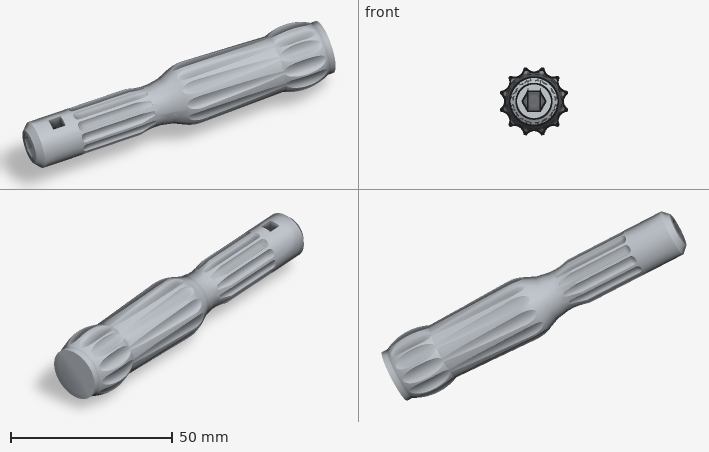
import cadquery as cq
import math

LENGTH = 100.0
BUTT_Y = LENGTH / 2
TIP_Y = -LENGTH / 2

COLLAR_RADIUS = 8.5
COLLAR_LENGTH = 2.0
KNOB_RADIUS = 10.6
KNOB_CREST_Y = 40.2
BODY_BACK_Y = 33.0
BODY_FRONT_RADIUS = 10.0
BODY_FRONT_Y = 5.0
SHOULDER_BULGE_RADIUS = 9.8
SHOULDER_END_RADIUS = 9.0
NECK_RADIUS = 6.6
NECK_Y = -9.0
SHAFT_RADIUS = 7.5
SHAFT_START_Y = -15.0
TIP_CHAMFER = 2.0

FLUTE_COUNT = 12
BODY_FLUTE_RADIUS = 3.0
BODY_FLUTE_FLOOR = 9.0
BODY_FLUTE_LEAST_DEPTH = 0.07
BODY_BACK_RADIUS = BODY_FLUTE_FLOOR + BODY_FLUTE_LEAST_DEPTH
SHAFT_FLUTE_RADIUS = 1.7
SHAFT_FLUTE_FLOOR = 6.4
SHAFT_FLUTE_START_Y = -10.0
SHAFT_FLUTE_END_Y = -35.0
SHAFT_FLUTE_END_FILLET = 1.2

HEX_ACROSS_FLATS = 6.3
HEX_ACROSS_CORNERS = HEX_ACROSS_FLATS / math.cos(math.radians(30))
HEX_DEPTH = 10.0
WINDOW_WIDTH = 4.0
WINDOW_LENGTH = 4.2
WINDOW_Y = -40.7


def turned_body():
    """Solid of revolution carrying every flute."""
    shoulder_rise = SHOULDER_END_RADIUS - NECK_RADIUS
    hollow_radius = (NECK_Y**2 + shoulder_rise**2) / (2 * shoulder_rise)
    run = NECK_Y - SHAFT_START_Y
    drop = hollow_radius + NECK_RADIUS - SHAFT_RADIUS
    cone_angle = math.asin(hollow_radius / math.hypot(run, drop)) - math.atan2(drop, run)
    cone_start = (
        NECK_RADIUS + hollow_radius * (1 - math.cos(cone_angle)),
        NECK_Y - hollow_radius * math.sin(cone_angle),
    )
    return (
        cq.Workplane("XY")
        .moveTo(0, BUTT_Y)
        .lineTo(COLLAR_RADIUS, BUTT_Y)
        .lineTo(COLLAR_RADIUS, BUTT_Y - COLLAR_LENGTH)
        .threePointArc((KNOB_RADIUS, KNOB_CREST_Y), (BODY_BACK_RADIUS, BODY_BACK_Y))
        .lineTo(BODY_FRONT_RADIUS, BODY_FRONT_Y)
        .threePointArc((SHOULDER_BULGE_RADIUS, BODY_FRONT_Y / 2), (SHOULDER_END_RADIUS, 0))
        .threePointArc((NECK_RADIUS, NECK_Y), cone_start)
        .lineTo(SHAFT_RADIUS, SHAFT_START_Y)
        .lineTo(SHAFT_RADIUS, TIP_Y + TIP_CHAMFER)
        .lineTo(SHAFT_RADIUS - TIP_CHAMFER, TIP_Y)
        .lineTo(0, TIP_Y)
        .close()
        .revolve(360, (0, 0, 0), (0, 1, 0))
    )


def body_flute():
    """Straight round groove along the top of the knob and body."""
    return (
        cq.Workplane("XZ", origin=(0, BUTT_Y, BODY_FLUTE_FLOOR + BODY_FLUTE_RADIUS))
        .circle(BODY_FLUTE_RADIUS)
        .extrude(BUTT_Y)
    )


def shaft_flute():
    """Round groove along the top of the shaft, square at the neck and filleted at the tip end."""
    centre_z = SHAFT_FLUTE_FLOOR + SHAFT_FLUTE_RADIUS
    return (
        cq.Workplane("XZ", origin=(0, SHAFT_FLUTE_START_Y, centre_z))
        .circle(SHAFT_FLUTE_RADIUS)
        .extrude(SHAFT_FLUTE_START_Y - SHAFT_FLUTE_END_Y)
        .faces("<Y")
        .edges()
        .fillet(SHAFT_FLUTE_END_FILLET)
    )


def driver_socket():
    """Hexagonal socket in the tip, with two flats facing up and down."""
    return (
        cq.Workplane("XZ", origin=(0, TIP_Y, 0))
        .polygon(6, HEX_ACROSS_CORNERS)
        .extrude(-HEX_DEPTH)
    )


def window():
    """Rectangular opening from the top of the shaft down to the lower flat of the socket."""
    return (
        cq.Workplane("XY", origin=(0, WINDOW_Y, -HEX_ACROSS_FLATS / 2))
        .rect(WINDOW_WIDTH, WINDOW_LENGTH)
        .extrude(HEX_ACROSS_FLATS / 2 + SHAFT_RADIUS)
    )


result = turned_body()
for flute in (body_flute(), shaft_flute()):
    for index in range(FLUTE_COUNT):
        angle = index * 360 / FLUTE_COUNT
        result = result.cut(flute.rotate((0, 0, 0), (0, 1, 0), angle))
result = result.cut(driver_socket()).cut(window())